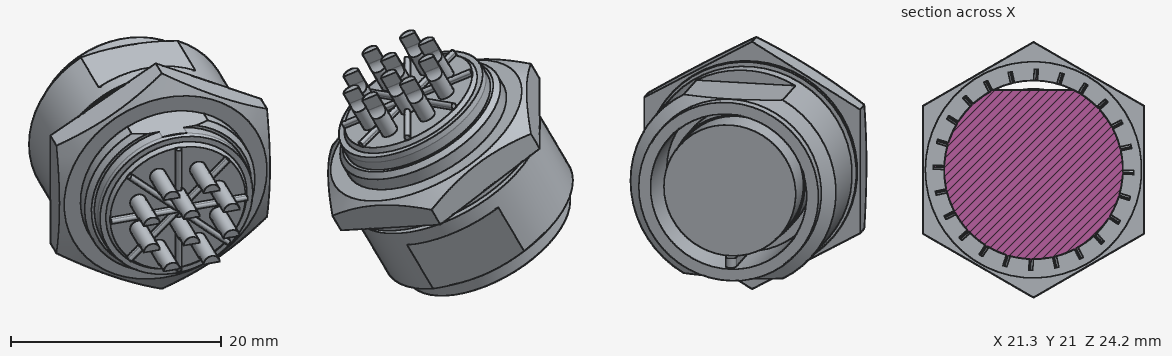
import cadquery as cq
import math


cap_end = 1.25
cap_radius = 8.73
body_radius = 10.0
cone_angle = 30.0
body_end = 9.0
flat_height = 8.75
flat_end = 7.52
bore_radius = 7.6
bore_depth = 7.0

neck_radius = 8.49
neck_end = 15.0
neck_chamfer = 0.5
neck_flat_height = 7.6
neck_flat_end = 16.0

thread_bite = 0.02
seat_radius = neck_radius - thread_bite

tail_radius = 7.69
tail_rim_radius = 7.61
tail_end = 16.55
tail_cone_radius = 7.03
tail_face_radius = 6.75
tail_face = 17.0

insert_face = 0.5
insert_radius = 6.4
insert_shoulder = 3.88
insert_shoulder_radius = 6.55
key_width = 1.02
key_clearance = 0.12
key_embed = 0.12

washer_start = 9.58
washer_end = 10.11
washer_radius = 10.25
tooth_count = 24
tooth_height = 0.15
tooth_radius = 9.53
tooth_angle = 2.3
first_tooth_angle = 12.3

nut_start = 10.18
nut_end = 13.22
nut_corner_radius = 12.12
nut_face_radius = 10.11
nut_chamfer_angle = 30.0

rib_angles = (0, 43.5, 90, 136.5)
rib_radius = 6.8
rib_width = 0.5
rib_end = 17.58

pin_radius = 0.8
pin_end = 21.3
cup_start = 19.28
column_pitch = 2.0
outer_row_height = 4.0
inner_row_height = 1.48
outer_row = [(side * column_pitch, outer_row_height) for side in (-1, 1)]
inner_row = [(side * 2 * column_pitch, inner_row_height) for side in (-1, 0, 1)]


def revolve(profile):
    """Turn a list of (x, radius) points about the X axis."""
    return cq.Workplane("XY").polyline(profile).close().revolve(360, (0, 0, 0), (1, 0, 0))


def cylinder(start, end, radius, y=0, z=0):
    """Cylinder along X."""
    return cq.Workplane("YZ", origin=(start, y, z)).circle(radius).extrude(end - start)


def box(x_range, y_range, z_range):
    size = [high - low for low, high in (x_range, y_range, z_range)]
    corner = (x_range[0], y_range[0], z_range[0])
    return cq.Workplane("XY").box(*size, centered=False).translate(corner)


def make_shell():
    cone_end = cap_end + (body_radius - cap_radius) * math.tan(math.radians(cone_angle))
    shell = revolve([
        (0, 0),
        (0, cap_radius),
        (cap_end, cap_radius),
        (cone_end, body_radius),
        (body_end, body_radius),
        (body_end, neck_radius),
        (neck_end - neck_chamfer, neck_radius),
        (neck_end, neck_radius - neck_chamfer),
        (neck_end, tail_radius),
        (neck_flat_end, tail_radius),
        (tail_end, tail_rim_radius),
        (tail_end, tail_cone_radius),
        (tail_face, tail_face_radius),
        (tail_face, 0),
    ])
    reach = 2 * body_radius
    across = (-reach, reach)
    shell = shell.cut(box((0, flat_end), across, (flat_height, reach)))
    shell = shell.cut(box((0, flat_end), across, (-reach, -flat_height)))
    shell = shell.cut(box((body_end, neck_flat_end), across, (neck_flat_height, reach)))
    return shell.cut(cylinder(0, bore_depth, bore_radius))


def make_insert():
    face = cylinder(insert_face, bore_depth, insert_radius)
    return face.union(cylinder(insert_shoulder, bore_depth, insert_shoulder_radius))


def make_key():
    """Bar along the bottom of the bore with a half-round front end."""
    half_width = key_width / 2
    front_center = insert_face + half_width
    top = -insert_shoulder_radius - key_clearance
    bottom = -bore_radius - key_embed
    return (
        cq.Workplane("XY", origin=(0, 0, bottom))
        .moveTo(bore_depth, -half_width)
        .lineTo(front_center, -half_width)
        .threePointArc((insert_face, 0), (front_center, half_width))
        .lineTo(bore_depth, half_width)
        .close()
        .extrude(top - bottom)
    )


def make_tooth():
    """Ramp on the washer's front face: a steep radial wall, then a slope back to the face."""
    tooth_length = tooth_radius * math.sin(math.radians(tooth_angle))
    embedded = washer_start + tooth_height
    ramp = (
        cq.Workplane("XZ")
        .moveTo(washer_start - tooth_height, 0)
        .lineTo(washer_start, tooth_length)
        .lineTo(embedded, tooth_length)
        .lineTo(embedded, 0)
        .close()
        .extrude(tooth_radius)
    )
    return ramp.intersect(cylinder(0, washer_end, tooth_radius))


def make_washer():
    washer = cylinder(washer_start, washer_end, washer_radius)
    tooth = make_tooth()
    for index in range(tooth_count):
        angle = first_tooth_angle + index * 360 / tooth_count
        washer = washer.union(tooth.rotate((0, 0, 0), (1, 0, 0), -angle))
    return washer.cut(cylinder(0, washer_end, seat_radius))


def make_nut():
    hexagon = (
        cq.Workplane("YZ", origin=(nut_start, 0, 0))
        .polygon(6, 2 * nut_corner_radius)
        .extrude(nut_end - nut_start)
        .rotate((0, 0, 0), (1, 0, 0), 90)
    )
    chamfer_length = (nut_corner_radius - nut_face_radius) * math.tan(math.radians(nut_chamfer_angle))
    envelope = revolve([
        (nut_start, 0),
        (nut_start, nut_corner_radius),
        (nut_end - chamfer_length, nut_corner_radius),
        (nut_end, nut_face_radius),
        (nut_end, 0),
    ])
    return hexagon.intersect(envelope).cut(cylinder(nut_start, nut_end, seat_radius))


def make_ribs():
    """Full-width ribs across the rear face, each with a full-round rear edge."""
    half_width = rib_width / 2
    round_center = rib_end - half_width
    rib = (
        cq.Workplane("XZ", origin=(0, rib_radius, 0))
        .moveTo(tail_face, -half_width)
        .lineTo(round_center, -half_width)
        .threePointArc((rib_end, 0), (round_center, half_width))
        .lineTo(tail_face, half_width)
        .close()
        .extrude(2 * rib_radius)
        .intersect(cylinder(tail_face, rib_end, rib_radius))
    )
    ribs = rib.rotate((0, 0, 0), (1, 0, 0), rib_angles[0])
    for angle in rib_angles[1:]:
        ribs = ribs.union(rib.rotate((0, 0, 0), (1, 0, 0), angle))
    return ribs


def make_pin(y, z):
    """Pin whose lower half is cut away at the tip, with a round run-out."""
    run_out = (
        cq.Workplane("XZ", origin=(0, pin_radius, 0))
        .moveTo(cup_start, -pin_radius)
        .radiusArc((cup_start + pin_radius, 0), pin_radius)
        .lineTo(pin_end, 0)
        .lineTo(pin_end, -pin_radius)
        .close()
        .extrude(2 * pin_radius)
    )
    return cylinder(tail_end, pin_end, pin_radius).cut(run_out).translate((0, y, z))


result = make_shell()
for piece in (make_insert(), make_key(), make_washer(), make_nut(), make_ribs()):
    result = result.union(piece)
for pin_y, row_height in outer_row + inner_row:
    for pin_z in (row_height, -row_height):
        result = result.union(make_pin(pin_y, pin_z))